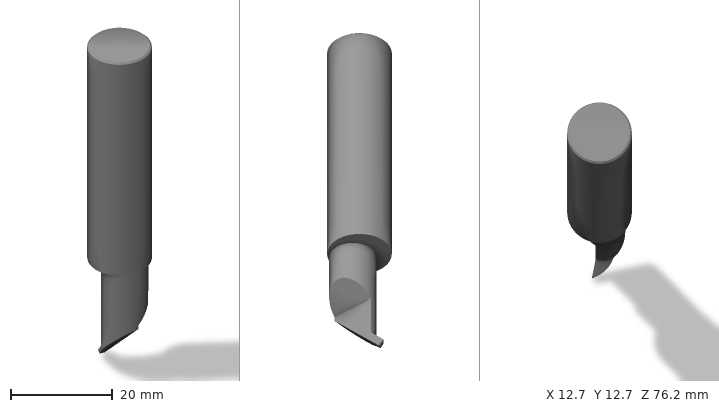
import cadquery as cq
import math

total_height = 76.2
body_diameter = 12.7
body_bottom_z = 25.45
body_chamfer = 0.4

shank_diameter = 9.3
shank_radius = shank_diameter / 2
shank_x = (body_diameter - shank_diameter) / 2

slope_top_x = body_diameter / 2
slope_top_z = 11.9
tip_x = -4.95
slope_angle = math.atan2(slope_top_z, slope_top_x - tip_x)

back_cut_inner_z = 12.8
back_cut_outer_z = 17.15

blade_thickness = 1.5
blade_edge_thickness = 0.4
blade_half_width = 3.3
blade_length = 6.85
blade_round_length = 5.5
blade_arc_mid_y = 2.0
blade_arc_mid_setback = 1.7
blade_root_fillet = 0.8


def make_body():
    body = cq.Workplane("XY", origin=(0, 0, body_bottom_z)).circle(body_diameter / 2)
    return body.extrude(total_height - body_bottom_z).faces(">Z").chamfer(body_chamfer)


def make_shank():
    shank = cq.Workplane("XY").center(shank_x, 0).circle(shank_radius).extrude(body_bottom_z)
    underside = (
        cq.Workplane("XZ")
        .polyline([(tip_x, 0), (slope_top_x, slope_top_z), (slope_top_x, 0)])
        .close()
        .extrude(shank_radius, both=True)
    )
    back_cut = (
        cq.Workplane("YZ", origin=(shank_x, 0, 0))
        .polyline([(0, 0), (0, back_cut_inner_z), (shank_radius, back_cut_outer_z), (shank_radius, 0)])
        .close()
        .extrude(shank_radius, both=True)
    )
    return shank.cut(underside).cut(back_cut)


def make_blade():
    slope_plane = cq.Plane(
        origin=(tip_x, 0, 0),
        xDir=(math.cos(slope_angle), 0, math.sin(slope_angle)),
        normal=(-math.sin(slope_angle), 0, math.cos(slope_angle)),
    )
    outline = (
        cq.Workplane(slope_plane)
        .moveTo(0, 0)
        .threePointArc(
            (blade_arc_mid_setback, -blade_arc_mid_y),
            (blade_round_length, -blade_half_width),
        )
        .lineTo(blade_length, -blade_half_width)
        .lineTo(blade_length, 0)
        .close()
        .extrude(blade_thickness)
    )
    section_plane = cq.Plane(origin=(tip_x, 0, 0), xDir=(0, 1, 0), normal=slope_plane.xDir)
    section = (
        cq.Workplane(section_plane)
        .polyline([
            (0, 0),
            (0, blade_thickness),
            (-blade_half_width, blade_edge_thickness),
            (-blade_half_width, 0),
        ])
        .close()
        .extrude(blade_length)
    )
    return outline.intersect(section)


def fillet_blade_root(part):
    root_x = shank_x - shank_radius
    slope = math.tan(slope_angle)
    root_z = (root_x - tip_x) * slope + blade_thickness / math.cos(slope_angle)
    edge_point = (root_x, -blade_half_width / 2, root_z)
    root_edge = cq.selectors.NearestToPointSelector(edge_point)
    return part.edges(root_edge).fillet(blade_root_fillet)


tip = make_shank().union(make_blade())
result = make_body().union(fillet_blade_root(tip))